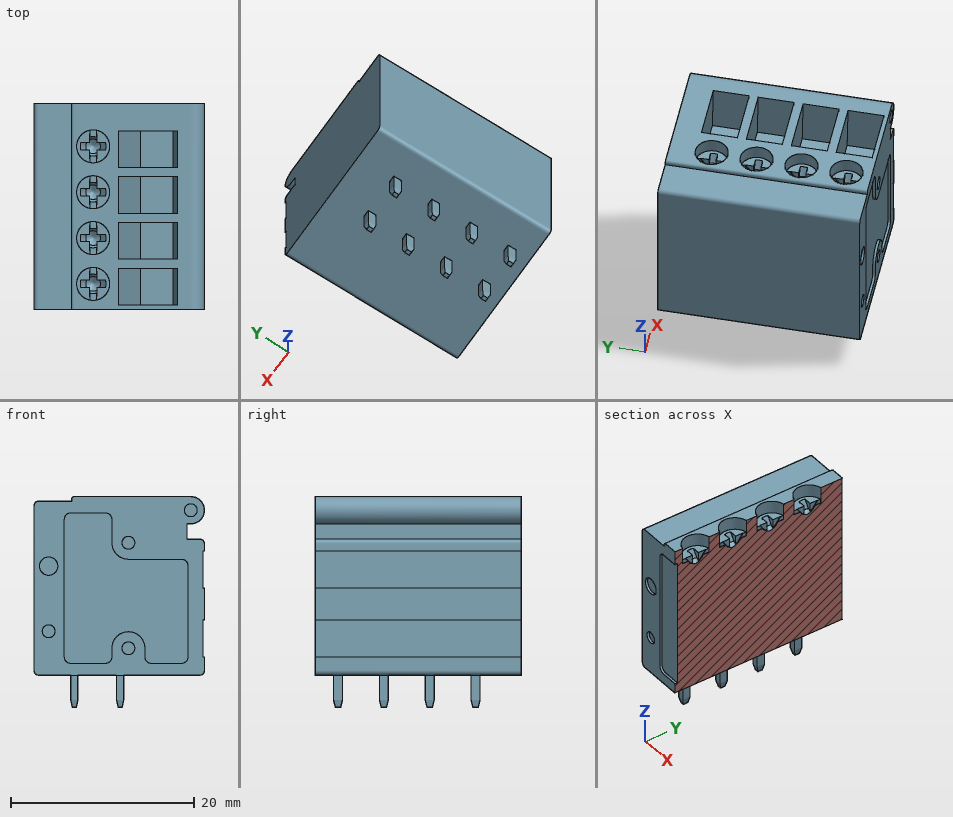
import cadquery as cq


width = 18.6
length = 22.5
height = 19.5
back_height = 19.0
back_step_x = 4.1
step_edge_radius = 0.3
edge_radius = 0.5

lug_radius = 1.5
lug_x = width - lug_radius
lug_z = height - lug_radius
lug_hole_diameter = 1.4
lug_hole_depth = 3.0
neck_x = 16.7
shoulder_z = 14.85

band_depth = 0.15
front_bands = [(2.0, 6.05), (9.5, 13.55)]

panel_depth = 0.3
panel_left = 3.3
panel_right = 16.8
panel_bottom = 1.3
panel_top = 17.7
panel_corner_radius = 0.7
boss_x = 10.3
boss_radius = 1.8
upper_boss_z = 14.45
lower_boss_z = 2.95
small_hole_diameter = 1.4
large_hole_diameter = 2.0
end_hole_depth = 0.3
back_hole_x = 1.6
end_holes = [
    (back_hole_x, 11.9, large_hole_diameter),
    (back_hole_x, 4.8, small_hole_diameter),
    (boss_x, upper_boss_z, small_hole_diameter),
    (boss_x, lower_boss_z, small_hole_diameter),
]

pole_count = 4
pole_pitch = 5.0
first_pole_y = 2.5
pole_positions = [first_pole_y + i * pole_pitch for i in range(pole_count)]

funnel_width = 4.0
funnel_left = 9.2
funnel_right = 15.65
funnel_floor_left = 11.6
funnel_floor_right = 15.15
funnel_depth = 5.0

screw_x = 6.45
screw_y_offset = 0.3
screw_diameter = 3.6
screw_head_depth = 1.6
slot_width = 0.7
slot_depth = 0.5
cross_width = 0.8
cross_top_radius = 1.4
cross_bottom_radius = 0.8
cross_wall_depth = 0.9
cross_tip_depth = 1.5

pin_x_positions = [4.4, 9.4]
pin_size_x = 0.8
pin_size_y = 1.0
pin_length = 3.5
pin_taper_length = 0.8
pin_tip_x = 0.45
pin_tip_y = 0.6


def extrude_along_y(sketch, depth):
    """Extrude an XZ sketch from the end face toward +Y."""
    return sketch.extrude(-depth)


def box_between(x_min, x_max, y_min, y_max, z_min, z_max):
    box = cq.Workplane("XY").box(x_max - x_min, y_max - y_min, z_max - z_min, centered=False)
    return box.translate((x_min, y_min, z_min))


def edge_at(x, z):
    """Selector for the housing edge along Y that passes through (x, z)."""
    margin = 0.05
    return cq.selectors.BoxSelector(
        (x - margin, -margin, z - margin),
        (x + margin, length + margin, z + margin),
    )


def make_housing():
    lug_bottom_z = lug_z - lug_radius
    outline = (
        cq.Workplane("XZ")
        .moveTo(0, 0)
        .lineTo(width, 0)
        .lineTo(width, shoulder_z)
        .lineTo(neck_x, shoulder_z)
        .lineTo(neck_x, lug_bottom_z)
        .lineTo(lug_x, lug_bottom_z)
        .threePointArc((width, lug_z), (lug_x, height))
        .lineTo(back_step_x, height)
        .lineTo(back_step_x, back_height)
        .lineTo(0, back_height)
        .close()
    )
    housing = extrude_along_y(outline, length)
    housing = housing.edges(edge_at(0, 0)).fillet(edge_radius)
    housing = housing.edges(edge_at(width, 0)).fillet(edge_radius)
    housing = housing.edges(edge_at(0, back_height)).fillet(edge_radius)
    housing = housing.edges(edge_at(back_step_x, height)).fillet(step_edge_radius)
    housing = housing.edges(edge_at(width, shoulder_z)).fillet(edge_radius)
    for lower_z, upper_z in front_bands:
        housing = housing.cut(box_between(width - band_depth, width, 0, length, lower_z, upper_z))
    return housing


def make_end_panel():
    """Rounded rectangle that leaves the upper front corner and both screw bosses standing."""
    panel = box_between(panel_left, panel_right, 0, panel_depth, panel_bottom, panel_top)
    boss_left = boss_x - boss_radius
    step_z = upper_boss_z - boss_radius
    corner = box_between(boss_left, panel_right, 0, panel_depth, step_z, panel_top)
    corner = corner.edges(edge_at(boss_left, step_z)).fillet(boss_radius)
    stem = box_between(boss_left, boss_x + boss_radius, 0, panel_depth, panel_bottom, lower_boss_z)
    arch = extrude_along_y(
        cq.Workplane("XZ").center(boss_x, lower_boss_z).circle(boss_radius), panel_depth
    )
    panel = panel.cut(corner).cut(stem.union(arch))
    rounded_corners = [
        (panel_left, panel_bottom),
        (panel_left, panel_top),
        (boss_left, panel_top),
        (panel_right, step_z),
        (panel_right, panel_bottom),
        (boss_left, panel_bottom),
        (boss_x + boss_radius, panel_bottom),
    ]
    for x, z in rounded_corners:
        panel = panel.edges(edge_at(x, z)).fillet(panel_corner_radius)
    return panel


def make_end_hole(x, z, diameter, depth):
    return extrude_along_y(cq.Workplane("XZ").center(x, z).circle(diameter / 2), depth)


def make_funnel(pole_y):
    """Wire entry with sloping front and back walls and a flat floor."""
    floor_z = height - funnel_depth
    profile = (
        cq.Workplane("XZ")
        .moveTo(funnel_left, height)
        .lineTo(funnel_floor_left, floor_z)
        .lineTo(funnel_floor_right, floor_z)
        .lineTo(funnel_right, height)
        .close()
    )
    return extrude_along_y(profile, funnel_width).translate((0, pole_y - funnel_width / 2, 0))


def make_screw_recess(pole_y):
    """Screw well, with a straight slot and a tapered cross recess in the screw head."""
    well = cq.Workplane("XY").circle(screw_diameter / 2).extrude(screw_head_depth)
    slot = cq.Workplane("XY").rect(slot_width, screw_diameter).extrude(-slot_depth)
    slot = slot.intersect(cq.Workplane("XY").circle(screw_diameter / 2).extrude(-slot_depth))
    taper = (
        cq.Workplane("XZ")
        .moveTo(0, 0)
        .lineTo(cross_top_radius, 0)
        .lineTo(cross_bottom_radius, -cross_wall_depth)
        .lineTo(0, -cross_tip_depth)
        .close()
        .revolve(360, (0, 0, 0), (0, 1, 0))
    )
    arm_length = 2 * cross_top_radius
    cross = cq.Workplane("XY").rect(arm_length, cross_width).extrude(-cross_tip_depth)
    cross = cross.union(cq.Workplane("XY").rect(cross_width, arm_length).extrude(-cross_tip_depth))
    recess = well.union(slot).union(cross.intersect(taper))
    return recess.translate((screw_x, pole_y + screw_y_offset, height - screw_head_depth))


def make_pin(x, pole_y):
    shank_length = pin_length - pin_taper_length
    shank = cq.Workplane("XY").rect(pin_size_x, pin_size_y).extrude(-shank_length)
    tip = (
        cq.Workplane("XY")
        .workplane(offset=-shank_length)
        .rect(pin_size_x, pin_size_y)
        .workplane(offset=-pin_taper_length)
        .rect(pin_tip_x, pin_tip_y)
        .loft()
    )
    return shank.union(tip).translate((x, pole_y, 0))


result = make_housing().cut(make_end_panel())
result = result.cut(make_end_hole(lug_x, lug_z, lug_hole_diameter, lug_hole_depth))
for hole_x, hole_z, hole_diameter in end_holes:
    result = result.cut(make_end_hole(hole_x, hole_z, hole_diameter, end_hole_depth))
for y in pole_positions:
    result = result.cut(make_funnel(y)).cut(make_screw_recess(y))
    for pin_x in pin_x_positions:
        result = result.union(make_pin(pin_x, y))